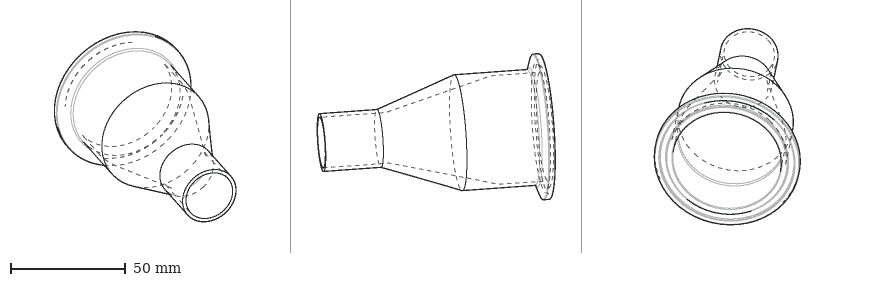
import cadquery as cq
import math


large_radius = 50.8 / 2
large_bore_radius = 47.5 / 2
small_radius = 25.4 / 2
small_bore_radius = 22.1 / 2

length = 98.4
small_tube_length = 25.4
cone_start = 38.1
cone_end = length - small_tube_length

taper_start = 21.85
taper_angle = math.radians(15)
taper_end = taper_start + (large_bore_radius - small_bore_radius) / math.tan(taper_angle)
taper_blend_radius = 6.3

flange_radius = 63.9 / 2
rim_width = 2.9
flange_slope = math.radians(20)
flange_end = rim_width + (flange_radius - large_radius) * math.tan(flange_slope)
neck_fillet = 1.1
rim_round = 0.4
bore_lip_round = 0.4

groove_radius = 28.1
groove_half_width = 3.1 / 2
groove_depth = 1.6
groove_wall_slope = math.radians(25)
groove_lip_round = 0.4


def circle_edges(body, station, radius):
    """Select the circular edge of the given radius centred at a station on the axis."""
    tolerance = 0.01
    return body.edges("%CIRCLE").filter(
        lambda edge: abs(edge.radius() - radius) < tolerance
        and abs(edge.Center().x - station) < tolerance
    )


def spin(profile):
    """Revolve a closed profile, drawn as (station, radius), about the X axis."""
    return profile.revolve(360, (0, 0, 0), (1, 0, 0))


def outer_body():
    """Solid bounded by the outer surfaces, with the rim and neck rounded."""
    outline = [
        (0, 0),
        (0, flange_radius),
        (rim_width, flange_radius),
        (flange_end, large_radius),
        (cone_start, large_radius),
        (cone_end, small_radius),
        (length, small_radius),
        (length, 0),
    ]
    body = spin(cq.Workplane("XY").polyline(outline).close())
    body = circle_edges(body, flange_end, large_radius).fillet(neck_fillet)
    for station in (0, rim_width):
        body = circle_edges(body, station, flange_radius).fillet(rim_round)
    return body


def bore():
    """Through passage, with a smooth blend from the large bore into the taper."""
    outline = [
        (0, 0),
        (0, large_bore_radius),
        (taper_start, large_bore_radius),
        (taper_end, small_bore_radius),
        (length, small_bore_radius),
        (length, 0),
    ]
    passage = spin(cq.Workplane("XY").polyline(outline).close())
    return circle_edges(passage, taper_start, large_bore_radius).fillet(taper_blend_radius)


def gasket_groove():
    """Ring cut into the flange face."""
    slope_sin = math.sin(groove_wall_slope)
    slope_cos = math.cos(groove_wall_slope)
    bottom_radius = (groove_half_width * slope_cos - groove_depth * slope_sin) / (1 - slope_sin)
    wall_depth = groove_depth - bottom_radius * (1 - slope_sin)
    bottom_half_width = bottom_radius * slope_cos
    return spin(
        cq.Workplane("XY")
        .moveTo(0, groove_radius - groove_half_width)
        .lineTo(wall_depth, groove_radius - bottom_half_width)
        .threePointArc((groove_depth, groove_radius), (wall_depth, groove_radius + bottom_half_width))
        .lineTo(0, groove_radius + groove_half_width)
        .close()
    )


def round_face_lips(body):
    """Round the bore mouth and both edges of the gasket groove."""
    body = circle_edges(body, 0, large_bore_radius).fillet(bore_lip_round)
    for lip_radius in (groove_radius - groove_half_width, groove_radius + groove_half_width):
        body = circle_edges(body, 0, lip_radius).fillet(groove_lip_round)
    return body


result = round_face_lips(outer_body().cut(bore()).cut(gasket_groove()))